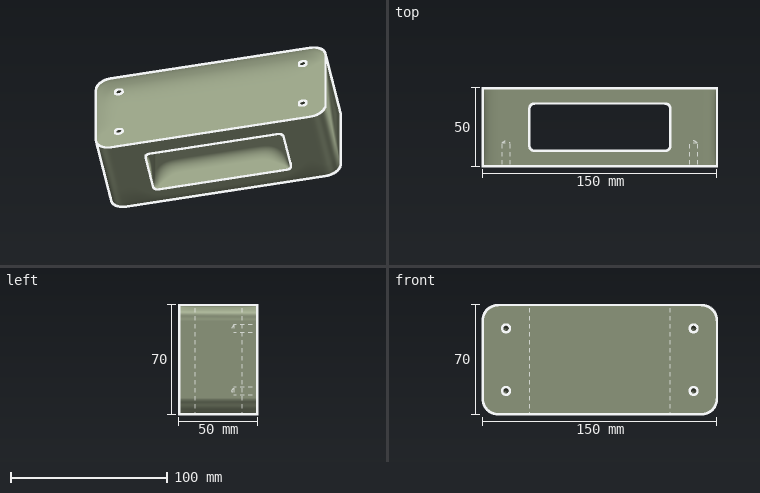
import cadquery as cq
import math

length = 150.0
depth = 50.0
height = 70.0
outer_corner_radius = 10.0

wall_thickness_y = 10.0
end_thickness_x = 30.0
window_length = length - 2 * end_thickness_x
window_depth = depth - 2 * wall_thickness_y
window_corner_radius = 3.0

hole_diameter = 5.0
hole_edge_distance = 15.0
hole_depth = 15.0
drill_point_angle = 118.0


def make_block():
    """Box with its four edges parallel to Y rounded."""
    return cq.Workplane("XY").box(length, depth, height).edges("|Y").fillet(outer_corner_radius)


def make_window():
    """Prism that cuts the opening, with rounded vertical corners."""
    prism = cq.Workplane("XY").box(window_length, window_depth, height)
    return prism.edges("|Z").fillet(window_corner_radius)


def make_drilled_hole(x, z):
    """Drill-shaped tool: a cylinder from the -Y face ending in a cone."""
    radius = hole_diameter / 2
    tip_length = radius / math.tan(math.radians(drill_point_angle / 2))
    half_profile = (
        cq.Workplane("XY")
        .polyline([(0, 0), (radius, 0), (radius, hole_depth), (0, hole_depth + tip_length)])
        .close()
    )
    drill = half_profile.revolve(360, (0, 0, 0), (0, 1, 0))
    return drill.translate((x, -depth / 2, z))


result = make_block().cut(make_window())

hole_x = length / 2 - hole_edge_distance
hole_z = height / 2 - hole_edge_distance
for x in (-hole_x, hole_x):
    for z in (-hole_z, hole_z):
        result = result.cut(make_drilled_hole(x, z))